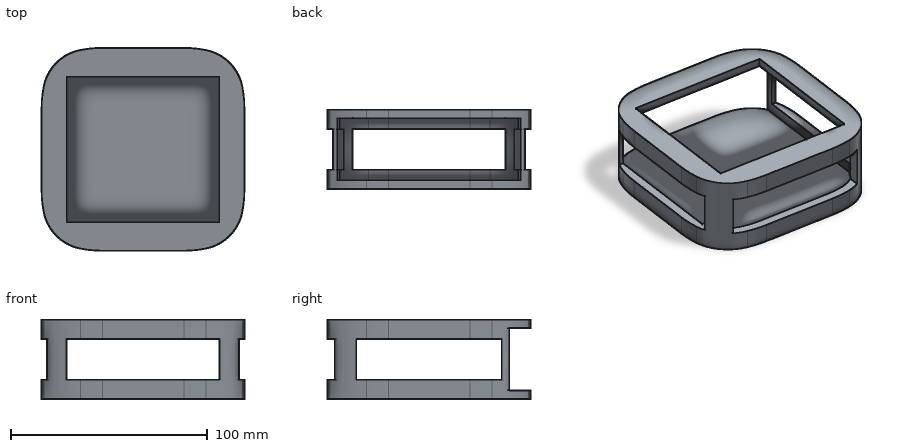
import cadquery as cq
import math

side = 103.2
height = 40.4
half_side = side / 2

straight_half = 20.6
lead_in_radius = 57.3
lead_in_angle = math.radians(11.4)

wall = 5.0
floor = 4.4
hollow_height = height - 2 * floor

slot_width = side - 2 * wall
slot_front = -31.9

opening_x = 77.6
opening_y = 73.9
window_height = 20.6

clearance = 5.2


def quarter_turned(point, turns):
    """Point turned counter-clockwise about the origin by a number of quarter turns."""
    x, y = point
    for _ in range(turns):
        x, y = -y, x
    return x, y


def soft_square(inset):
    """Soft-cornered square, parallel to the outer outline and moved inwards by `inset`."""
    half = half_side - inset
    lead_in = lead_in_radius - inset
    lead_in_centre = half_side - lead_in_radius
    join_x = lead_in_centre + lead_in * math.cos(lead_in_angle)
    join_y = straight_half + lead_in * math.sin(lead_in_angle)
    lead_in_mid = (
        lead_in_centre + lead_in * math.cos(lead_in_angle / 2),
        straight_half + lead_in * math.sin(lead_in_angle / 2),
    )
    corner_radius = (join_x - join_y) / (math.cos(lead_in_angle) - math.sin(lead_in_angle))
    corner_centre = join_x - corner_radius * math.cos(lead_in_angle)
    corner_mid = corner_centre + corner_radius * math.sqrt(0.5)

    outline = cq.Workplane("XY").moveTo(half, -straight_half)
    for turns in range(4):
        outline = (
            outline.lineTo(*quarter_turned((half, straight_half), turns))
            .threePointArc(quarter_turned(lead_in_mid, turns), quarter_turned((join_x, join_y), turns))
            .threePointArc(
                quarter_turned((corner_mid, corner_mid), turns),
                quarter_turned((join_y, join_x), turns),
            )
            .threePointArc(
                quarter_turned(lead_in_mid[::-1], turns),
                quarter_turned((straight_half, half), turns),
            )
        )
    return outline.close()


def centred_block(size_x, size_y, size_z):
    """Block centred on the middle of the body."""
    return cq.Workplane("XY").box(size_x, size_y, size_z).translate((0, 0, height / 2))


body = soft_square(0).extrude(height)
hollow = soft_square(wall).extrude(hollow_height).translate((0, 0, floor))

slot_length = half_side + clearance - slot_front
slot = centred_block(slot_width, slot_length, hollow_height).translate((0, slot_front + slot_length / 2, 0))

through_length = side + 2 * clearance
front_back_window = centred_block(opening_x, through_length, window_height)
left_right_window = centred_block(through_length, opening_y, window_height)

top_opening = cq.Workplane("XY").workplane(offset=height / 2).rect(opening_x, opening_y).extrude(height)

result = body
for opening in (hollow, slot, front_back_window, left_right_window, top_opening):
    result = result.cut(opening)